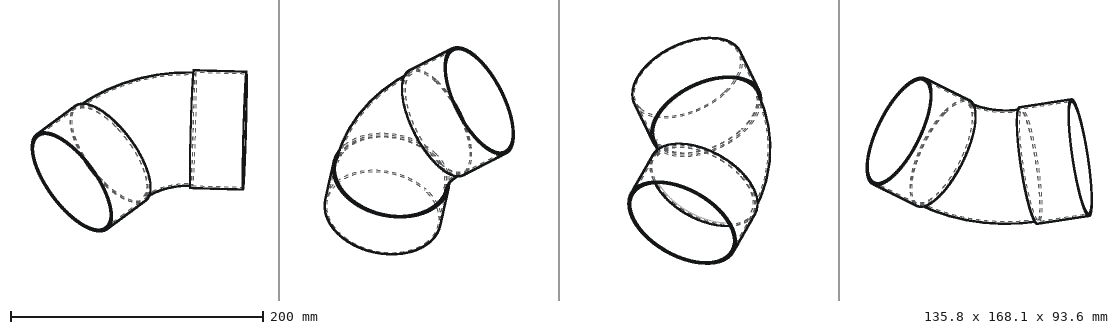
import cadquery as cq
import math

bend_angle = 45.0
centre_to_end = 79.08
pipe_outer_diameter = 90.0
wall = 1.8
socket_depth = 40.0
lip_radius = wall

socket_length = socket_depth + lip_radius
socket_bore_diameter = pipe_outer_diameter
socket_outer_diameter = socket_bore_diameter + 2 * wall
pipe_bore_diameter = pipe_outer_diameter - 2 * wall
bend_radius = (centre_to_end - socket_length) / math.tan(math.radians(bend_angle / 2))

bend_centre = (bend_radius, 0, 0)


def bend_segment(diameter):
    """Solid torus segment of the given diameter, spanning the bend angle."""
    section = cq.Workplane("XZ").circle(diameter / 2)
    below_bend_centre = (bend_radius, -1, 0)
    return section.revolve(bend_angle, bend_centre, below_bend_centre)


def socket():
    """Socket below the start of the bend, revolved about the Y axis from its wall section."""
    outer_radius = socket_outer_diameter / 2
    bore_radius = socket_bore_diameter / 2
    pipe_bore_radius = pipe_bore_diameter / 2
    lip_rise = lip_radius * math.sin(math.radians(45))
    lip_middle = (bore_radius - lip_rise, -lip_rise)
    wall_section = (
        cq.Workplane("XY")
        .moveTo(pipe_bore_radius, 0)
        .lineTo(outer_radius, 0)
        .lineTo(outer_radius, -socket_length)
        .lineTo(bore_radius, -socket_length)
        .lineTo(bore_radius, -lip_radius)
        .threePointArc(lip_middle, (pipe_bore_radius, 0))
        .close()
    )
    return wall_section.revolve(360, (0, 0, 0), (0, 1, 0))


def carry_to_far_end(body):
    """Copy of a body at the start of the bend, mirrored and turned to the other end."""
    above_bend_centre = (bend_radius, 0, 1)
    return body.mirror("XZ").rotate(bend_centre, above_bend_centre, -bend_angle)


bend = bend_segment(pipe_outer_diameter).cut(bend_segment(pipe_bore_diameter))
start_socket = socket()
end_socket = carry_to_far_end(start_socket)

result = bend.union(start_socket).union(end_socket)